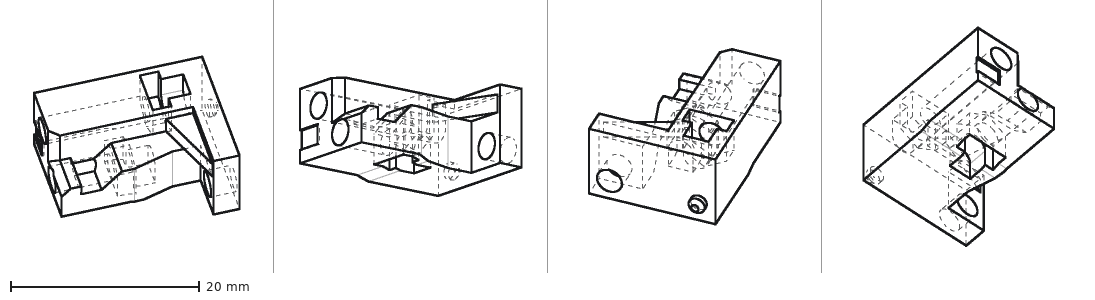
import cadquery as cq
import math

body_length = 18.6
body_height = 8.67
column_width = 6.55
base_width = 10.72
wing_width = 14.48
wing_front_y = 15.72

base_height = 5.68
base_narrow_width = 9.48
relief_start_y = 8.04
relief_end_y = 12.6
ridge_height = 4.68
ridge_back_y = 2.18
groove_floor_z = 3.42
groove_floor_end_y = 4.42
edge_chamfer = 1.0

step_height = 0.45
step_end_y = 7.68
step_ramp_end_y = 9.19

rib_front_y = 12.73
rib_end_x = 14.0
rib_top_drop = 1.0
rib_top_z = body_height - rib_top_drop

screw_diameter = 2.85
screw_radius = screw_diameter / 2
nut_flats = 5.06
nut_corner_angle = 30
nut_corners = nut_flats / math.cos(math.radians(nut_corner_angle))
nut_length = 2.05
channel_length = 2.43
upper_screw_x = 3.27
upper_screw_z = 6.12
upper_nut_front_y = 11.49
lower_screw_x = 7.02
lower_screw_z = 2.37
lower_nut_front_y = 6.52
flange_hole_x = 12.14

pin_diameter = 1.85
pin_length = 1.1
pin_chamfer = 0.5
pin_x = 1.92

label_width = 3.06
label_bottom_z = 1.93
label_top_z = 4.12
label_depth = 0.25


def box(x_range, y_range, z_range):
    """Axis-aligned box between the given limits."""
    size = [limits[1] - limits[0] for limits in (x_range, y_range, z_range)]
    corner = (x_range[0], y_range[0], z_range[0])
    return cq.Workplane("XY").box(*size, centered=False).translate(corner)


def cylinder(diameter, x, z, start_y, end_y):
    """Cylinder running along +Y."""
    disc = cq.Workplane("XZ", origin=(x, start_y, z)).circle(diameter / 2)
    return disc.extrude(start_y - end_y)


def make_column():
    column = box((0, column_width), (0, body_length), (0, body_height))
    return column.edges("|Z and >X and <Y").chamfer(edge_chamfer)


def make_base():
    """Lower block: stepped top profile trimmed to its tapered plan outline."""
    groove_ramp_end_y = groove_floor_end_y + base_height - groove_floor_z
    profile = [
        (0, 0),
        (0, ridge_height - edge_chamfer),
        (edge_chamfer, ridge_height),
        (ridge_back_y, ridge_height),
        (ridge_back_y, groove_floor_z),
        (groove_floor_end_y, groove_floor_z),
        (groove_ramp_end_y, base_height),
        (wing_front_y, base_height),
        (wing_front_y, 0),
    ]
    plan = [
        (0, 0),
        (base_width, 0),
        (base_width, relief_start_y),
        (base_narrow_width, relief_end_y),
        (base_narrow_width, wing_front_y),
        (0, wing_front_y),
    ]
    block = cq.Workplane("YZ").polyline(profile).close().extrude(base_width)
    outline = cq.Workplane("XY").polyline(plan).close().extrude(base_height)
    return block.intersect(outline)


def make_rib():
    corners = [
        (column_width, rib_front_y),
        (rib_end_x, wing_front_y),
        (column_width, wing_front_y),
    ]
    plane = cq.Workplane("XY", origin=(0, 0, base_height))
    return plane.polyline(corners).close().extrude(rib_top_z - base_height)


def make_pin():
    pin = cylinder(pin_diameter, pin_x, lower_screw_z, body_length, body_length + pin_length)
    return pin.faces(">Y").chamfer(pin_chamfer)


def make_underside_step():
    profile = [
        (0, 0),
        (0, step_height),
        (step_end_y, step_height),
        (step_ramp_end_y, 0),
    ]
    return cq.Workplane("YZ").polyline(profile).close().extrude(base_width)


def make_screw_seat(x, z, nut_front_y, open_z):
    """Screw hole from the front, with nut pocket and channel open towards open_z."""
    nut_back_y = nut_front_y + nut_length
    channel_end_y = nut_back_y + channel_length
    z_range = sorted((z, open_z))
    hole = cylinder(screw_diameter, x, z, 0, channel_end_y)
    channel = box((x - screw_radius, x + screw_radius), (nut_back_y, channel_end_y), z_range)
    nut = (
        cq.Workplane("XZ", origin=(x, nut_front_y, z))
        .transformed(rotate=(0, 0, nut_corner_angle))
        .polygon(6, nut_corners)
        .extrude(-nut_length)
    )
    nut_entry = box((x - nut_flats / 2, x + nut_flats / 2), (nut_front_y, nut_back_y), z_range)
    return hole.union(channel).union(nut).union(nut_entry)


def make_label_recess():
    return box((0, label_width), (0, label_depth), (label_bottom_z, label_top_z))


wing = box((0, wing_width), (wing_front_y, body_length), (0, body_height))
flange_hole = cylinder(screw_diameter, flange_hole_x, lower_screw_z, wing_front_y, body_length)

result = make_column().union(make_base()).union(wing).union(make_rib()).union(make_pin())
result = result.cut(make_underside_step())
result = result.cut(make_screw_seat(upper_screw_x, upper_screw_z, upper_nut_front_y, body_height))
result = result.cut(make_screw_seat(lower_screw_x, lower_screw_z, lower_nut_front_y, 0))
result = result.cut(flange_hole)
result = result.cut(make_label_recess())